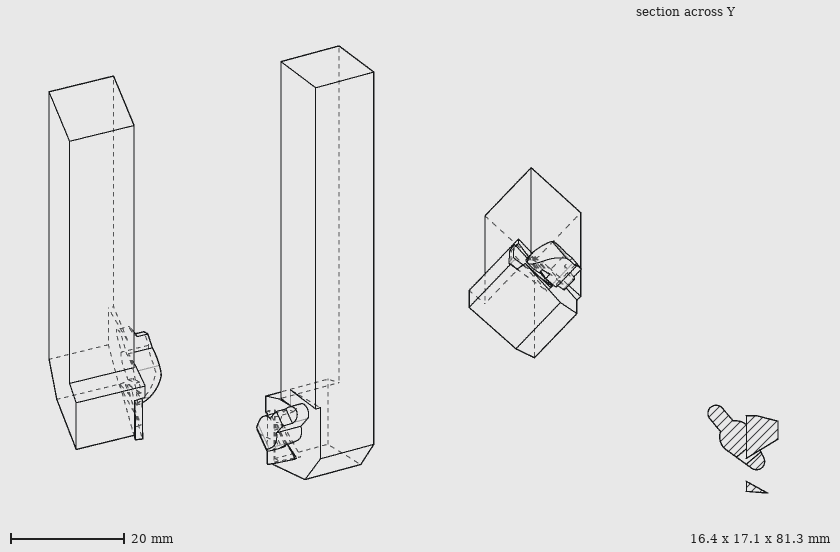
import cadquery as cq
import math

SHANK_SIZE = 11.95
TOP_Z = 81.35
HEAD_X = 15.8
HEAD_TOP_Z = 17.9
SHOULDER_INNER_Z = 14.8
SHOULDER_OUTER_Z = 13.8
HEAD_CORNER_Z = 1.0
RELIEF_X, RELIEF_LOW_Z, RELIEF_HIGH_Z = 4.5, 1.9, 7.8

SEAT_LEFT_Y = 11.0
SEAT_RIGHT_Y = 12.8

INSERT_RIGHT_X = 16.4
INSERT_EDGE = 11.15
INSERT_NOSE_RADIUS = 0.3
INSERT_BACK_Y = 12.1
INSERT_THICKNESS = 1.3
INSERT_LEAN = 1.2
INSERT_RELIEF = 7.0
INSERT_CORNER_ANGLE = 60.0

BOSS_X, BOSS_Z = 8.3, 11.1
BOSS_RADIUS = 2.85
CLAMP_ANGLE = 50.0
TAIL_RADIUS = 1.5
NOSE_RADIUS = 1.5
TAIL_LENGTH = 6.8
TAIL_UPPER_LENGTH = 5.05
TAIL_STEP_LOW_Y, TAIL_STEP_HIGH_Y = 13.6, 14.4
TAIL_TOP_Y = 16.35
CLAMP_TOP_Y = 17.1
CROWN_START, CROWN_END = 1.6, 2.6
NOSE_LENGTH = 7.15
NOSE_MID = (5.5, 15.1)
CLAMP_BASE_Y = 10.6
GAP_START, GAP_END = 2.85, 4.9
GAP_TOP_Y = 12.9


def insert_outline():
    """Triangle with rounded corners, its nose touching Z = 0 and the right limit."""
    nose_x = INSERT_RIGHT_X - INSERT_NOSE_RADIUS
    nose_z = INSERT_NOSE_RADIUS
    spacing = INSERT_EDGE - 2 * INSERT_NOSE_RADIUS / math.tan(math.radians(INSERT_CORNER_ANGLE / 2))
    centres = [(nose_x, nose_z)]
    for turn in (0, INSERT_CORNER_ANGLE):
        direction = math.radians(90 + INSERT_LEAN + turn)
        centres.append((nose_x + spacing * math.cos(direction), nose_z + spacing * math.sin(direction)))
    plane = cq.Workplane("XZ", origin=(0, INSERT_BACK_Y, 0))
    return plane.polyline(centres).close().offset2D(INSERT_NOSE_RADIUS)


def make_insert():
    """Triangular insert whose flanks taper inwards towards -Y."""
    return insert_outline().extrude(INSERT_THICKNESS, taper=INSERT_RELIEF)


def make_holder(insert):
    """Shank and head with the sloping seat face and the insert pocket."""
    shank = (
        cq.Workplane("XY", origin=(0, 0, HEAD_TOP_Z))
        .rect(SHANK_SIZE, SHANK_SIZE, centered=False)
        .extrude(TOP_Z - HEAD_TOP_Z)
    )
    head = (
        cq.Workplane("XZ")
        .moveTo(0, HEAD_TOP_Z)
        .lineTo(SHANK_SIZE, HEAD_TOP_Z)
        .lineTo(SHANK_SIZE, SHOULDER_INNER_Z)
        .lineTo(HEAD_X, SHOULDER_OUTER_Z)
        .lineTo(HEAD_X, HEAD_CORNER_Z)
        .lineTo(RELIEF_X, RELIEF_LOW_Z)
        .lineTo(0, RELIEF_HIGH_Z)
        .close()
        .extrude(-SEAT_RIGHT_Y)
    )
    below_seat = (
        cq.Workplane("XY")
        .polyline([(0, 0), (HEAD_X, 0), (HEAD_X, SEAT_RIGHT_Y), (0, SEAT_LEFT_Y)])
        .close()
        .extrude(HEAD_TOP_Z)
    )
    open_pocket = insert_outline().extrude(INSERT_BACK_Y - SEAT_RIGHT_Y)
    above_shoulder = cq.Workplane("XY", origin=(0, SHANK_SIZE, SHOULDER_INNER_Z)).box(
        SHANK_SIZE, SEAT_RIGHT_Y - SHANK_SIZE, HEAD_TOP_Z - SHOULDER_INNER_Z, centered=False
    )
    head = head.intersect(below_seat).cut(above_shoulder)
    return shank.union(head).cut(open_pocket).cut(insert)


def make_clamp(holder):
    """Clamp with tail, round boss and hooked nose, resting on seat and insert."""
    height = CLAMP_TOP_Y - CLAMP_BASE_Y
    base = cq.Workplane("XY", origin=(0, 0, CLAMP_BASE_Y))
    tail_centre = TAIL_RADIUS - TAIL_LENGTH
    nose_centre = NOSE_LENGTH - NOSE_RADIUS
    tail = (
        base.center(tail_centre / 2, 0)
        .slot2D(-tail_centre + 2 * TAIL_RADIUS, 2 * TAIL_RADIUS)
        .extrude(height)
    )
    tangent_cos = (BOSS_RADIUS - NOSE_RADIUS) / nose_centre
    tangent_sin = math.sqrt(1 - tangent_cos**2)
    boss_point = (BOSS_RADIUS * tangent_cos, BOSS_RADIUS * tangent_sin)
    nose_point = (nose_centre + NOSE_RADIUS * tangent_cos, NOSE_RADIUS * tangent_sin)
    boss_and_nose = (
        base.moveTo(*boss_point)
        .lineTo(*nose_point)
        .threePointArc((NOSE_LENGTH, 0), (nose_point[0], -nose_point[1]))
        .lineTo(boss_point[0], -boss_point[1])
        .threePointArc((-BOSS_RADIUS, 0), boss_point)
        .close()
        .extrude(height)
    )
    plan = boss_and_nose.union(tail)
    side = (
        cq.Workplane("XZ")
        .moveTo(-TAIL_LENGTH, CLAMP_BASE_Y)
        .lineTo(-TAIL_LENGTH, TAIL_STEP_LOW_Y)
        .lineTo(-TAIL_UPPER_LENGTH, TAIL_STEP_HIGH_Y)
        .lineTo(-TAIL_UPPER_LENGTH, TAIL_TOP_Y)
        .lineTo(CROWN_START, CLAMP_TOP_Y)
        .lineTo(CROWN_END, CLAMP_TOP_Y)
        .threePointArc(NOSE_MID, (NOSE_LENGTH, INSERT_BACK_Y))
        .lineTo(GAP_END, INSERT_BACK_Y)
        .lineTo(GAP_END, GAP_TOP_Y)
        .lineTo(GAP_START, GAP_TOP_Y)
        .lineTo(GAP_START, CLAMP_BASE_Y)
        .close()
        .extrude(BOSS_RADIUS, both=True)
    )
    return (
        plan.intersect(side)
        .rotate((0, 0, 0), (1, 0, 0), -90)
        .rotate((0, 0, 0), (0, 1, 0), CLAMP_ANGLE)
        .translate((BOSS_X, 0, BOSS_Z))
        .cut(holder)
    )


insert = make_insert()
holder = make_holder(insert)
clamp = make_clamp(holder)

result = cq.Compound.makeCompound([holder.val(), insert.val(), clamp.val()])